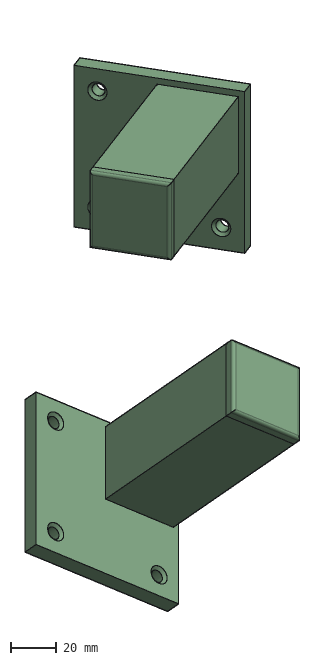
import cadquery as cq

plate_side = 80.0
plate_thickness = 8.0

post_side = 38.0
post_edge_gap = 3.0

total_depth = 100.0
cap_thickness = 5.0
cap_edge_radius = 1.5

hole_diameter = 6.0
countersink_diameter = 9.0
countersink_angle = 90.0
hole_edge_distance = 11.0

post_length = total_depth - plate_thickness - cap_thickness
post_offset = plate_side / 2 - post_edge_gap - post_side / 2
hole_offset = plate_side / 2 - hole_edge_distance
hole_positions = [
    (-hole_offset, hole_offset),
    (-hole_offset, -hole_offset),
    (hole_offset, -hole_offset),
]


def front_plane(y):
    """XZ plane at the given Y: local x is X, local y is Z, the normal points toward -Y."""
    return cq.Workplane("XZ", origin=(0, y, 0))


def make_bracket():
    """Plate and post in one piece; the front face of the plate lies at Y = 0."""
    plate = front_plane(plate_thickness).rect(plate_side, plate_side).extrude(plate_thickness)
    drilled_plate = (
        plate.faces("<Y")
        .workplane(origin=(0, 0, 0))
        .pushPoints(hole_positions)
        .cskHole(hole_diameter, countersink_diameter, countersink_angle)
    )
    post = front_plane(0).center(post_offset, post_offset).rect(post_side, post_side).extrude(post_length)
    return drilled_plate.union(post)


def make_end_cap():
    """Square cap flush with the post, with rounded edges around its outer face."""
    cap = (
        front_plane(-post_length)
        .center(post_offset, post_offset)
        .rect(post_side, post_side)
        .extrude(cap_thickness)
    )
    return cap.faces("<Y").edges().fillet(cap_edge_radius)


bracket = make_bracket()
end_cap = make_end_cap()

result = cq.Compound.makeCompound([bracket.val(), end_cap.val()])